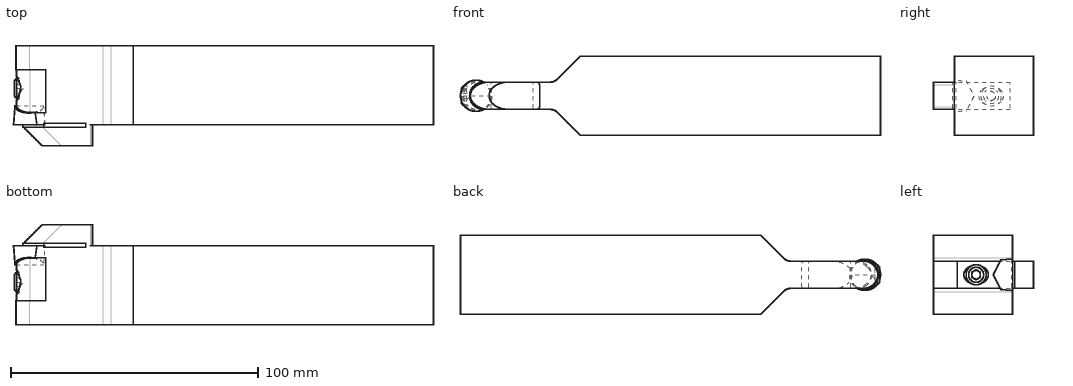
import cadquery as cq
import math


total_length = 170.0
shank_size = 32.0
ramp_top_x = 48.5
ramp_fillet = 4.7

neck_half = 5.5
nose_x = 1.0
ramp_bottom_x = ramp_top_x - (shank_size / 2 - neck_half)

pad_half = 5.46
pad_nose_x = 1.2
pad_end_x = 13.1
pad_far_y = 22.3

insert_radius = 6.35
relief_angle = 4.0
seat_near_y = 4.8
seat_ridge_y = 7.8
seat_half = 5.9

clamp_half = 5.5
clamp_reach = 8.5
clamp_end_x = 32.0
clamp_tip_x = 3.1
clamp_fillet = 1.0
toe_x = 3.7
toe_half = 5.4
gap_start_x = 12.3
gap_end_x = 29.2
gap_holder_y = 0.6
gap_clamp_y = -0.9

screw_y = 14.75
screw_diameter = 8.15
screw_face_diameter = 6.1
screw_face_x = 0.35
screw_chamfer_depth = 0.9
socket_across_flats = 3.5
socket_depth = 2.0
socket_cone_depth = 1.5
sink_diameter = 10.2
sink_depth = 1.4


def rounded_bar(left_x, right_x, half_height, near_y, far_y):
    """Flat bar whose left end is a half round of the bar's full height."""
    center_x = left_x + half_height
    return (
        cq.Workplane("XZ", origin=(0, near_y, 0))
        .moveTo(right_x, half_height)
        .lineTo(center_x, half_height)
        .threePointArc((left_x, 0), (center_x, -half_height))
        .lineTo(right_x, -half_height)
        .close()
        .extrude(near_y - far_y)
    )


def revolve_about_x(points):
    """Turn an (X, radius) outline about the screw axis."""
    return (
        cq.Workplane("XY", origin=(0, screw_y, 0))
        .polyline(points)
        .close()
        .revolve(360, (0, 0, 0), (1, 0, 0))
    )


def make_insert():
    """Round insert with side relief and a V-shaped back."""
    back_radius = insert_radius - seat_ridge_y * math.tan(math.radians(relief_angle))
    disc = cq.Workplane("XY").add(
        cq.Solid.makeCone(
            insert_radius,
            back_radius,
            seat_ridge_y,
            pnt=cq.Vector(insert_radius, 0, 0),
            dir=cq.Vector(0, 1, 0),
        )
    )
    flank_slope = (seat_ridge_y - seat_near_y) / seat_half
    v_half = 2 * insert_radius
    v_prism = (
        cq.Workplane("YZ")
        .polyline(
            [
                (seat_ridge_y - flank_slope * v_half, -v_half),
                (seat_ridge_y, 0),
                (seat_ridge_y - flank_slope * v_half, v_half),
                (-seat_ridge_y, v_half),
                (-seat_ridge_y, -v_half),
            ]
        )
        .close()
        .extrude(2 * insert_radius)
    )
    return disc.intersect(v_prism)


def make_shank_and_neck():
    """Square shank, 45 degree ramps and round-nosed neck."""
    shank_half = shank_size / 2
    shank = (
        cq.Workplane("XZ")
        .polyline(
            [
                (nose_x + neck_half, neck_half),
                (ramp_bottom_x, neck_half),
                (ramp_top_x, shank_half),
                (total_length, shank_half),
                (total_length, -shank_half),
                (ramp_top_x, -shank_half),
                (ramp_bottom_x, -neck_half),
                (nose_x + neck_half, -neck_half),
            ]
        )
        .close()
        .extrude(-shank_size)
    )
    pick_margin = 1.0
    ramp_corner = cq.selectors.BoxSelector(
        (ramp_bottom_x - pick_margin, -pick_margin, -neck_half - pick_margin),
        (ramp_bottom_x + pick_margin, shank_size + pick_margin, neck_half + pick_margin),
    )
    shank = shank.edges("|Y").edges(ramp_corner).fillet(ramp_fillet)
    neck = rounded_bar(nose_x, ramp_bottom_x - 2 * ramp_fillet, neck_half, 0, shank_size)
    return shank.union(neck)


def make_clamp_finger():
    """Finger in front of the neck: leaning round end, heel on the neck, toe on the insert."""
    axis_x = clamp_tip_x + clamp_half * math.sqrt(2)
    block = (
        cq.Workplane("XY", origin=(0, 0, -clamp_half))
        .polyline(
            [
                (axis_x - gap_clamp_y, gap_clamp_y),
                (axis_x + clamp_reach, -clamp_reach),
                (clamp_end_x, -clamp_reach),
                (clamp_end_x, 0),
                (gap_end_x, 0),
                (gap_end_x, gap_clamp_y),
            ]
        )
        .close()
        .extrude(2 * clamp_half)
        .faces(">X")
        .edges("|Y")
        .fillet(clamp_fillet)
    )
    overshoot = 2 * clamp_half
    round_end = cq.Workplane("XY").add(
        cq.Solid.makeCylinder(
            clamp_half,
            (clamp_reach + 2 * overshoot) * math.sqrt(2),
            pnt=cq.Vector(axis_x - overshoot, overshoot, 0),
            dir=cq.Vector(1, -1, 0),
        )
    )
    depth_slab = (
        cq.Workplane("XY")
        .box(total_length, clamp_reach + gap_clamp_y, shank_size, centered=(False, False, True))
        .translate((0, -clamp_reach, 0))
    )
    toe = rounded_bar(toe_x, gap_start_x, toe_half, gap_clamp_y, 0)
    return block.union(round_end.intersect(depth_slab)).union(toe)


def make_gap():
    """Relief in the neck that widens the gap behind the middle of the finger."""
    return (
        cq.Workplane("XY")
        .box(gap_end_x - gap_start_x, gap_holder_y, shank_size, centered=(False, False, True))
        .translate((gap_start_x, 0, 0))
    )


def make_screw_clearance():
    """Countersink that narrows to the screw head diameter."""
    return revolve_about_x(
        [
            (0, 0),
            (0, sink_diameter / 2),
            (nose_x, sink_diameter / 2),
            (nose_x + sink_depth, screw_diameter / 2),
            (nose_x + sink_depth, 0),
        ]
    )


def make_screw_head():
    """Bevelled screw head."""
    return revolve_about_x(
        [
            (screw_face_x, 0),
            (screw_face_x, screw_face_diameter / 2),
            (screw_face_x + screw_chamfer_depth, screw_diameter / 2),
            (nose_x + neck_half, screw_diameter / 2),
            (nose_x + neck_half, 0),
        ]
    )


def make_screw_socket():
    """Hexagon socket that ends in a cone."""
    hexagon = (
        cq.Workplane("YZ", origin=(screw_face_x, screw_y, 0))
        .polygon(6, socket_across_flats, circumscribed=True)
        .extrude(socket_depth)
    )
    floor_x = screw_face_x + socket_depth
    cone = revolve_about_x(
        [
            (floor_x, 0),
            (floor_x, socket_across_flats / 2),
            (floor_x + socket_cone_depth, 0),
        ]
    )
    return hexagon.union(cone)


def make_pad_room():
    """Nose length of the neck that the pad takes over."""
    return (
        cq.Workplane("XY")
        .box(pad_end_x, pad_far_y - seat_near_y, shank_size, centered=(False, False, True))
        .translate((0, seat_near_y, 0))
    )


def make_holder(insert):
    """Shank, neck, pad, clamp finger and screw, with the seat for the insert."""
    pad = rounded_bar(pad_nose_x, pad_end_x, pad_half, seat_near_y, pad_far_y)
    body = make_shank_and_neck().cut(make_pad_room()).union(pad)
    body = body.cut(make_screw_clearance()).union(make_screw_head()).cut(make_screw_socket())
    return body.cut(make_gap()).cut(insert).union(make_clamp_finger())


insert = make_insert()
holder = make_holder(insert)

result = cq.Compound.makeCompound([holder.solids().val(), insert.solids().val()])